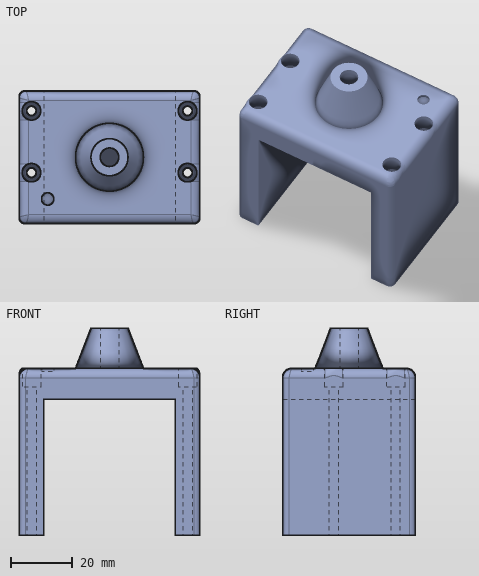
import cadquery as cq

LENGTH_X = 58.5
WIDTH_Y = 43.0
BODY_HEIGHT = 54.0
WALL = 8.0
ROOF = 10.0
SIDE_RADIUS = 2.0
TOP_RADIUS = 3.0

CONE_HEIGHT = 13.0
CONE_BASE_DIAMETER = 22.0
CONE_TIP_DIAMETER = 12.0
BORE_DIAMETER = 6.0
BORE_DEPTH = CONE_HEIGHT

SCREW_DIAMETER = 3.0
HEAD_DIAMETER = 6.0
HEAD_DEPTH = 6.0
SCREW_X = LENGTH_X / 2 - WALL / 2
SCREW_YS = (-5.0, 15.0)

DIMPLE_DIAMETER = 4.0
DIMPLE_DEPTH = 1.0
DIMPLE_X = -20.0
DIMPLE_Y = -13.5


def make_body():
    """Block with an opening along Y between the side walls, base at Z = 0."""
    block = cq.Workplane("XY").box(LENGTH_X, WIDTH_Y, BODY_HEIGHT, centered=(True, True, False))
    block = block.edges("|Z").fillet(SIDE_RADIUS)
    opening = cq.Workplane("XY").box(
        LENGTH_X - 2 * WALL, WIDTH_Y, BODY_HEIGHT - ROOF, centered=(True, True, False)
    )
    return block.cut(opening)


def round_rim(body):
    """Round the outer rim of the roof only, rolling over the mouths of the screw holes."""
    rim = body.faces(">Z").val().outerWire().Edges()
    return cq.Workplane(body.val().fillet(TOP_RADIUS, rim))


def drill_screw_holes(body):
    """Counterbored through holes centred in the thickness of both side walls."""
    places = [(side * SCREW_X, y) for side in (-1, 1) for y in SCREW_YS]
    return (
        body.faces(">Z")
        .workplane(origin=(0, 0, BODY_HEIGHT))
        .pushPoints(places)
        .cboreHole(SCREW_DIAMETER, HEAD_DIAMETER, HEAD_DEPTH)
    )


def make_cone():
    """Truncated cone standing on the centre of the roof."""
    base_radius = CONE_BASE_DIAMETER / 2
    tip_radius = CONE_TIP_DIAMETER / 2
    cone = cq.Solid.makeCone(base_radius, tip_radius, CONE_HEIGHT)
    return cq.Workplane(cone).translate((0, 0, BODY_HEIGHT))


def blind_hole(x, y, top, diameter, depth):
    """Cylinder reaching down from height `top`, used as a cutter."""
    return cq.Workplane("XY", origin=(x, y, top)).circle(diameter / 2).extrude(-depth)


drilled_body = drill_screw_holes(make_body())
rounded_body = round_rim(drilled_body)
bore = blind_hole(0, 0, BODY_HEIGHT + CONE_HEIGHT, BORE_DIAMETER, BORE_DEPTH)
dimple = blind_hole(DIMPLE_X, DIMPLE_Y, BODY_HEIGHT, DIMPLE_DIAMETER, DIMPLE_DEPTH)
result = rounded_body.union(make_cone()).cut(bore).cut(dimple)